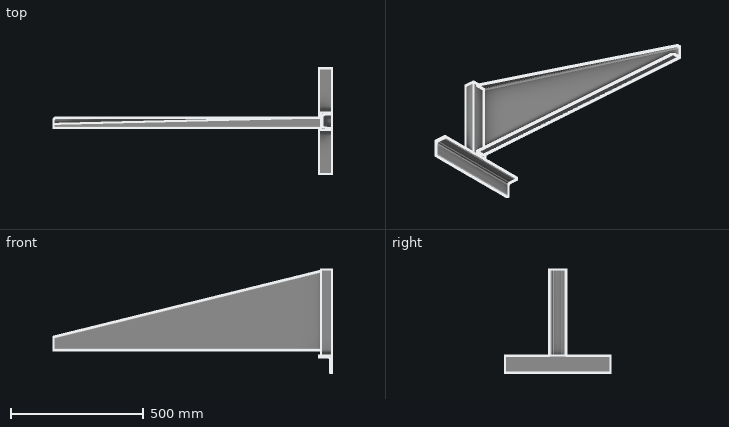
import cadquery as cq
import math

OVERALL_LENGTH = 1052.28
OVERALL_HEIGHT = 391.0

ANGLE_LENGTH = 400.0
ANGLE_DEPTH = 50.0
ANGLE_HEIGHT = 65.0
ANGLE_THICKNESS = 7.0
ANGLE_ROOT_RADIUS = 6.5
ANGLE_TOE_RADIUS = 3.5

CHANNEL_WIDTH = 65.0
CHANNEL_DEPTH = 42.0
CHANNEL_HEIGHT = OVERALL_HEIGHT - ANGLE_HEIGHT
CHANNEL_WEB = 5.5
FLANGE_MEAN = 7.5
FLANGE_SLOPE = 0.08
CHANNEL_ROOT_RADIUS = 7.5
CHANNEL_TOE_RADIUS = 4.0

ARM_LENGTH = OVERALL_LENGTH - CHANNEL_DEPTH
ARM_WIDTH = 40.0
ARM_TIP_TOP_WIDTH = 16.0
ARM_TIP_HEIGHT = 51.0
ARM_WALL_HEIGHT = 300.0
ARM_TOP_GAP = 5.5
SHEET = 3.5
BEND_RADIUS = 5.0
TIP_CHAMFER = 7.3
ARM_FACE_Y = -26.3

arm_tip_x = -OVERALL_LENGTH
arm_wall_x = -CHANNEL_DEPTH
arm_bottom_z = OVERALL_HEIGHT - ARM_TOP_GAP - ARM_WALL_HEIGHT
arm_back_y = ARM_FACE_Y + ARM_WIDTH


def make_angle():
    """Unequal angle: a level leg on top and a hanging leg on the back plane."""
    underside_z = ANGLE_HEIGHT - ANGLE_THICKNESS
    bar = (
        cq.Workplane("XZ", origin=(0, ANGLE_LENGTH / 2, 0))
        .moveTo(0, 0)
        .lineTo(0, ANGLE_HEIGHT)
        .lineTo(-ANGLE_DEPTH, ANGLE_HEIGHT)
        .lineTo(-ANGLE_DEPTH, underside_z)
        .lineTo(-ANGLE_THICKNESS, underside_z)
        .lineTo(-ANGLE_THICKNESS, 0)
        .close()
        .extrude(ANGLE_LENGTH)
    )
    root = cq.selectors.NearestToPointSelector((-ANGLE_THICKNESS, 0, underside_z))
    bar = bar.edges(root).fillet(ANGLE_ROOT_RADIUS)
    toes = [(-ANGLE_DEPTH, 0, underside_z), (-ANGLE_THICKNESS, 0, 0)]
    for toe in toes:
        bar = bar.edges(cq.selectors.NearestToPointSelector(toe)).fillet(ANGLE_TOE_RADIUS)
    return bar


def make_channel():
    """Upright channel, web toward the arm, tapered flanges opening onto the back plane."""
    half = CHANNEL_WIDTH / 2
    web_x = CHANNEL_WEB - CHANNEL_DEPTH
    mean_x = -CHANNEL_DEPTH / 2
    tip_thickness = FLANGE_MEAN + FLANGE_SLOPE * mean_x
    root_thickness = FLANGE_MEAN + FLANGE_SLOPE * (mean_x - web_x)
    bar = (
        cq.Workplane("XY", origin=(0, 0, ANGLE_HEIGHT))
        .moveTo(0, -half)
        .lineTo(-CHANNEL_DEPTH, -half)
        .lineTo(-CHANNEL_DEPTH, half)
        .lineTo(0, half)
        .lineTo(0, half - tip_thickness)
        .lineTo(web_x, half - root_thickness)
        .lineTo(web_x, root_thickness - half)
        .lineTo(0, tip_thickness - half)
        .close()
        .extrude(CHANNEL_HEIGHT)
    )
    mid_z = ANGLE_HEIGHT + CHANNEL_HEIGHT / 2
    for side in (-1, 1):
        root = (web_x, side * (half - root_thickness), mid_z)
        toe = (0, side * (half - tip_thickness), mid_z)
        bar = bar.edges(cq.selectors.NearestToPointSelector(root)).fillet(CHANNEL_ROOT_RADIUS)
        bar = bar.edges(cq.selectors.NearestToPointSelector(toe)).fillet(CHANNEL_TOE_RADIUS)
    return bar


def make_arm_core(inset, radius):
    """Tapered block bounded by the web face and both flange faces, moved in by inset."""
    slope = math.atan2(ARM_WALL_HEIGHT - ARM_TIP_HEIGHT, ARM_LENGTH)
    top_drop = inset / math.cos(slope)
    block = (
        cq.Workplane("XZ", origin=(0, ARM_FACE_Y + inset, 0))
        .moveTo(arm_tip_x, arm_bottom_z + inset)
        .lineTo(arm_wall_x, arm_bottom_z + inset)
        .lineTo(arm_wall_x, arm_bottom_z + ARM_WALL_HEIGHT - top_drop)
        .lineTo(arm_tip_x, arm_bottom_z + ARM_TIP_HEIGHT - top_drop)
        .close()
        .extrude(-(ARM_WIDTH - inset))
    )
    bend_edges = block.faces("<Y").edges("not |Z")
    return bend_edges.fillet(radius)


def make_arm():
    """Folded arm: upright web, level bottom flange, sloped top flange narrowing to the tip."""
    arm = make_arm_core(0, BEND_RADIUS).cut(make_arm_core(SHEET, BEND_RADIUS - SHEET))
    between_flanges_z = arm_bottom_z + ARM_TIP_HEIGHT / 2
    taper_cut = (
        cq.Workplane("XY", origin=(0, 0, between_flanges_z))
        .moveTo(arm_tip_x, ARM_FACE_Y + ARM_TIP_TOP_WIDTH)
        .lineTo(arm_wall_x, arm_back_y)
        .lineTo(arm_tip_x, arm_back_y)
        .close()
        .extrude(OVERALL_HEIGHT)
    )
    corner_cut = (
        cq.Workplane("XY", origin=(0, 0, arm_bottom_z))
        .moveTo(arm_tip_x, arm_back_y - TIP_CHAMFER)
        .lineTo(arm_tip_x + TIP_CHAMFER, arm_back_y)
        .lineTo(arm_tip_x, arm_back_y)
        .close()
        .extrude(SHEET)
    )
    return arm.cut(taper_cut).cut(corner_cut)


angle = make_angle()
channel = make_channel()
arm = make_arm()

result = cq.Compound.makeCompound([angle.val(), channel.val(), arm.val()])